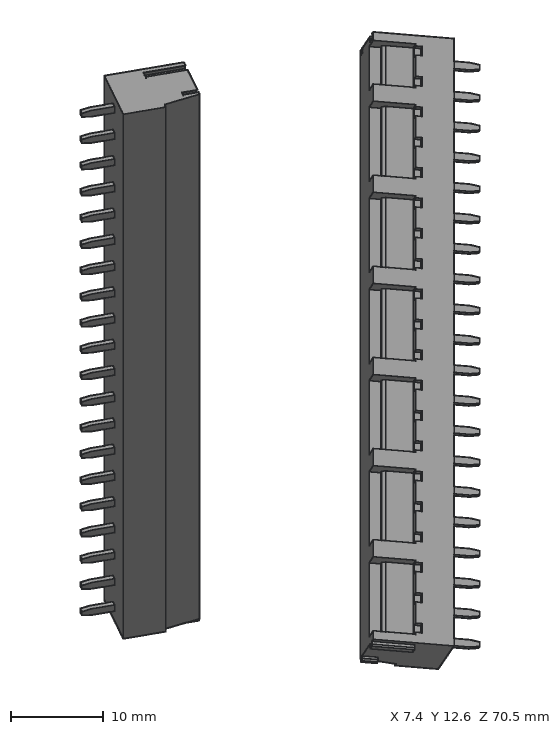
import cadquery as cq

pole_count = 20
total_height = 70.55
total_depth = 12.6
rib_height = 0.55
housing_height = total_height - rib_height
pole_pitch = housing_height / pole_count

housing_width = 7.4
housing_depth = 8.95
slope_top_x = 6.15
slope_base_x = 6.9
shoulder_depth = 4.15

pin_width = 0.6
pin_height = 0.85
pin_tip_height = 0.5
pin_taper_length = 1.05

poles_per_recess = [2, 3, 3, 3, 3, 3, 3]
recess_margin = 1.0
recess_length = 4.7
recess_middle = 1.5
recess_shallow = 1.3
recess_deep = 2.0
deep_length = 1.3
ramp_length = 0.4

notch_length = 0.7
notch_depth = 0.7
notch_height = 1.05

rib_waist_drop = 0.35
slot_undercut = 0.2
slot_flare_depth = 0.2
wide_x = 1.05
wide_neck = 0.85
wide_waist = 1.0
wide_length = recess_length
narrow_x = 5.5
narrow_neck = 0.4
narrow_waist = 0.85
narrow_length = 1.75


def pole_z(index):
    """Height of the centre of a pole, counted from the bottom."""
    return (index + 0.5) * pole_pitch


def make_housing():
    return (
        cq.Workplane("XY")
        .polyline([
            (0, 0),
            (slope_top_x, 0),
            (slope_base_x, -shoulder_depth),
            (housing_width, -shoulder_depth),
            (housing_width, -housing_depth),
            (0, -housing_depth),
        ])
        .close()
        .extrude(housing_height)
    )


def make_recess(z_low, z_high):
    """Stepped recess: deep next to the rear face, then a step and a ramp to a shallow floor."""
    return (
        cq.Workplane("XY", origin=(0, 0, z_low))
        .polyline([
            (0, 0),
            (recess_deep, 0),
            (recess_deep, -deep_length),
            (recess_middle, -deep_length),
            (recess_shallow, -deep_length - ramp_length),
            (recess_shallow, -recess_length),
            (0, -recess_length),
        ])
        .close()
        .extrude(z_high - z_low)
    )


def make_notch(z_center):
    return (
        cq.Workplane("XY", origin=(0, -recess_length - notch_length, z_center))
        .box(notch_depth, notch_length, notch_height, centered=(False, False, True))
    )


def make_pin(z_center):
    """Flat pin on the front face whose tip narrows in height."""
    tip = -total_depth
    taper_start = tip + pin_taper_length
    return (
        cq.Workplane("YZ", origin=((housing_width - pin_width) / 2, 0, z_center))
        .polyline([
            (-housing_depth, pin_height / 2),
            (taper_start, pin_height / 2),
            (tip, pin_tip_height / 2),
            (tip, -pin_tip_height / 2),
            (taper_start, -pin_height / 2),
            (-housing_depth, -pin_height / 2),
        ])
        .close()
        .extrude(pin_width)
    )


def make_key(profile, x_center, length, z_root):
    """Bar running forward from the rear face and hanging below z_root.

    The profile lists (width, drop) pairs from the root down to the tip.
    """
    right_side = [(width / 2, -drop) for width, drop in profile]
    left_side = [(-width / 2, -drop) for width, drop in reversed(profile)]
    return (
        cq.Workplane("XZ", origin=(x_center, 0, z_root))
        .polyline(right_side + left_side)
        .close()
        .extrude(length)
    )


def make_rib(neck, waist, x_center, length):
    """Rib under the housing: narrow neck, wider waist, tip as wide as the neck."""
    profile = [(neck, 0), (waist, rib_waist_drop), (neck, rib_height)]
    return make_key(profile, x_center, length, 0)


def make_slot(neck, x_center, length):
    """Undercut slot in the top: opening as wide as the rib neck, then a wider floor."""
    floor = neck + 2 * slot_undercut
    profile = [(neck, 0), (floor, slot_flare_depth), (floor, rib_height)]
    return make_key(profile, x_center, length, housing_height)


result = make_housing()

group_top = housing_height
for poles in poles_per_recess:
    group_bottom = group_top - poles * pole_pitch
    result = result.cut(make_recess(group_bottom + recess_margin, group_top - recess_margin))
    group_top = group_bottom

for index in range(pole_count):
    result = result.cut(make_notch(pole_z(index)))
    result = result.union(make_pin(pole_z(index)))

result = result.cut(make_slot(wide_neck, wide_x, wide_length))
result = result.cut(make_slot(narrow_neck, narrow_x, narrow_length))
result = result.union(make_rib(wide_neck, wide_waist, wide_x, wide_length))
result = result.union(make_rib(narrow_neck, narrow_waist, narrow_x, narrow_length))